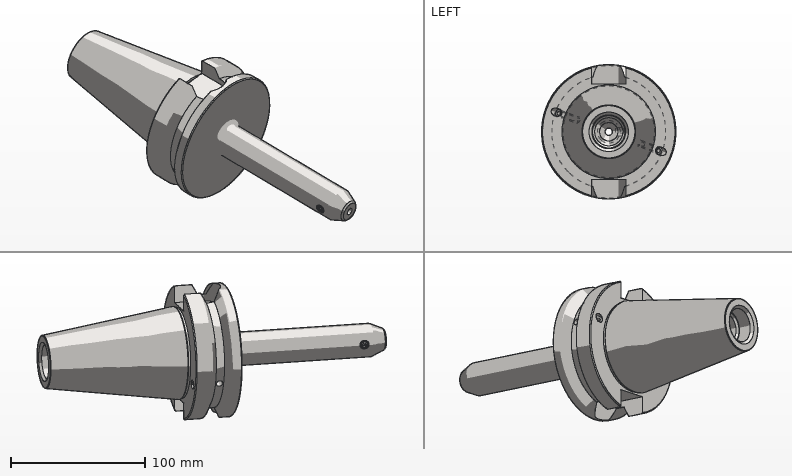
import cadquery as cq
import math

total_length = 261.8
gauge_x = 101.8
flange_start_x = 104.2
groove_x = 125.0
flange_end_x = 139.8
cone_start_x = 250.8
nose_start_x = 260.5

taper_rate = 7 / 24
gauge_radius = 34.8
small_end_radius = gauge_radius - gauge_x * taper_rate / 2
neck_radius = 34.0
flange_radius = 50.0
groove_radius = 42.5
shank_radius = 12.5
cone_end_radius = 8.5
nose_radius = 7.0

taper_chamfer = 0.5
gauge_chamfer = 0.8
flange_chamfer = 0.8
shank_fillet = 4.5
groove_fillet = 1.0
cone_fillet = 1.8

groove_floor_width = 6.3
groove_flank_angle = 30.0
groove_floor_half = groove_floor_width / 2
groove_flank_width = (flange_radius - groove_radius) * math.tan(math.radians(groove_flank_angle))
groove_mouth_half = groove_floor_half + groove_flank_width

mouth_radius = 14.7
mouth_chamfer_depth = 1.8
pilot_radius = 12.5
pilot_depth = 12.0
thread_mouth_radius = 12.0
thread_radius = 10.5
thread_depth = 61.5
drill_radius = 6.8
drill_depth = 83.8
coolant_radius = 2.5
drill_point_angle = 118.0
drill_point_slope = 1 / math.tan(math.radians(drill_point_angle / 2))

keyway_width = 25.7
keyway_floor = 35.3
keyway_end_x = 135.5

port_angle = 20.5
port_diameter = 6.0
port_exit_diameter = 5.0
port_entry_depth = 3.1
port_drill_diameter = 3.1
port_lead_in = 5.2
port_radius = 41.5
port_tilt = 40.0
port_inner_radius = port_radius - (groove_x - flange_start_x) * math.tan(math.radians(port_tilt))

screw_x = 243.5
screw_diameter = 6.0
screw_length = 6.8
screw_chamfer = 0.8
screw_recess = 0.8
screw_countersink = 0.5
socket_width = 2.5
socket_depth = 2.5
screw_inner_y = -shank_radius + screw_recess + screw_length


def circle_at(x):
    """Selector for the turned edge that lies in the plane at station x."""
    reach = 2 * flange_radius
    tolerance = 0.13
    low_corner = (x - tolerance, -reach, -reach)
    high_corner = (x + tolerance, reach, reach)
    return cq.selectors.BoxSelector(low_corner, high_corner, boundingbox=True)


def outer_profile():
    """Solid of revolution: taper, flange with its V-groove, shank and nose."""
    taper_end_radius = small_end_radius - taper_chamfer
    body = (
        cq.Workplane("XZ")
        .moveTo(0, 0)
        .lineTo(0, taper_end_radius)
        .lineTo(taper_chamfer, small_end_radius)
        .lineTo(gauge_x, gauge_radius)
        .lineTo(gauge_x + gauge_chamfer, neck_radius)
        .lineTo(flange_start_x, neck_radius)
        .lineTo(flange_start_x, flange_radius - flange_chamfer)
        .lineTo(flange_start_x + flange_chamfer, flange_radius)
        .lineTo(groove_x - groove_mouth_half, flange_radius)
        .lineTo(groove_x - groove_floor_half, groove_radius)
        .lineTo(groove_x + groove_floor_half, groove_radius)
        .lineTo(groove_x + groove_mouth_half, flange_radius)
        .lineTo(flange_end_x - flange_chamfer, flange_radius)
        .lineTo(flange_end_x, flange_radius - flange_chamfer)
        .lineTo(flange_end_x, shank_radius + shank_fillet)
        .radiusArc((flange_end_x + shank_fillet, shank_radius), -shank_fillet)
        .lineTo(cone_start_x, shank_radius)
        .lineTo(nose_start_x, cone_end_radius)
        .lineTo(total_length, nose_radius)
        .lineTo(total_length, 0)
        .close()
        .revolve(360, (0, 0, 0), (1, 0, 0))
    )
    for side in (-1, 1):
        body = body.edges(circle_at(groove_x + side * groove_mouth_half)).fillet(groove_fillet)
    return body.edges(circle_at(cone_start_x)).fillet(cone_fillet)


def stud_bore():
    """Stepped bore from the small end, narrowing to a coolant bore through the nose."""
    thread_point = (thread_radius - drill_radius) * drill_point_slope
    drill_point = (drill_radius - coolant_radius) * drill_point_slope
    thread_chamfer = thread_mouth_radius - thread_radius
    return (
        cq.Workplane("XZ")
        .moveTo(0, 0)
        .lineTo(0, mouth_radius)
        .lineTo(mouth_chamfer_depth, pilot_radius)
        .lineTo(pilot_depth, pilot_radius)
        .lineTo(pilot_depth, thread_mouth_radius)
        .lineTo(pilot_depth + thread_chamfer, thread_radius)
        .lineTo(thread_depth, thread_radius)
        .lineTo(thread_depth + thread_point, drill_radius)
        .lineTo(drill_depth, drill_radius)
        .lineTo(drill_depth + drill_point, coolant_radius)
        .lineTo(total_length, coolant_radius)
        .lineTo(total_length, 0)
        .close()
        .revolve(360, (0, 0, 0), (1, 0, 0))
    )


def keyway():
    """Round-ended slot cutter for the keyway on the +Z side."""
    round_x = keyway_end_x - keyway_width / 2
    return (
        cq.Workplane("XY", origin=(0, 0, keyway_floor))
        .moveTo(gauge_x, -keyway_width / 2)
        .lineTo(round_x, -keyway_width / 2)
        .threePointArc((keyway_end_x, 0), (round_x, keyway_width / 2))
        .lineTo(gauge_x, keyway_width / 2)
        .close()
        .extrude(flange_radius)
    )


def coolant_port():
    """Tilted stepped port from the flange face, met by a radial hole from the groove, on the +Y side."""
    tilt = math.radians(port_tilt)
    slope = cq.Vector(math.cos(tilt), -math.sin(tilt), 0)
    length = (groove_x - flange_start_x) / math.cos(tilt)
    face_point = cq.Vector(flange_start_x, port_radius, 0)
    entry_point = face_point - slope * port_lead_in
    entry = cq.Solid.makeCylinder(port_diameter / 2, port_lead_in + port_entry_depth, entry_point, slope)
    tilted = cq.Solid.makeCylinder(port_drill_diameter / 2, length, face_point, slope)
    bottom = cq.Vector(groove_x, port_inner_radius, 0)
    radial_length = flange_radius - port_inner_radius
    radial = cq.Solid.makeCylinder(port_exit_diameter / 2, radial_length, bottom, cq.Vector(0, 1, 0))
    return cq.Workplane(entry).union(cq.Workplane(tilted)).union(cq.Workplane(radial))


def side_screw_hole():
    """Blind hole from the -Y side with a countersunk mouth."""
    hole_radius = screw_diameter / 2
    countersunk_radius = hole_radius + screw_countersink
    hole = cq.Workplane("XZ", origin=(screw_x, screw_inner_y, 0)).circle(hole_radius).extrude(shank_radius)
    mouth = cq.Workplane(
        cq.Solid.makeCone(
            countersunk_radius,
            hole_radius,
            screw_recess,
            cq.Vector(screw_x, -shank_radius, 0),
            cq.Vector(0, 1, 0),
        )
    )
    return hole.union(mouth)


def make_holder():
    """Holder body with two opposite keyways and coolant ports."""
    body = outer_profile().cut(stud_bore())
    for turn in (0, 180):
        body = body.cut(keyway().rotate((0, 0, 0), (1, 0, 0), turn))
        body = body.cut(coolant_port().rotate((0, 0, 0), (1, 0, 0), turn + port_angle))
    return body.cut(side_screw_hole())


def make_side_screw():
    """Set screw with a chamfered head and a hexagon socket."""
    return (
        cq.Workplane("XZ", origin=(screw_x, screw_inner_y, 0))
        .circle(screw_diameter / 2)
        .extrude(screw_length)
        .faces("<Y")
        .chamfer(screw_chamfer)
        .faces("<Y")
        .workplane()
        .polygon(6, socket_width)
        .cutBlind(-socket_depth)
    )


holder = make_holder()
side_screw = make_side_screw()
result = cq.Compound.makeCompound([holder.val(), side_screw.val()])